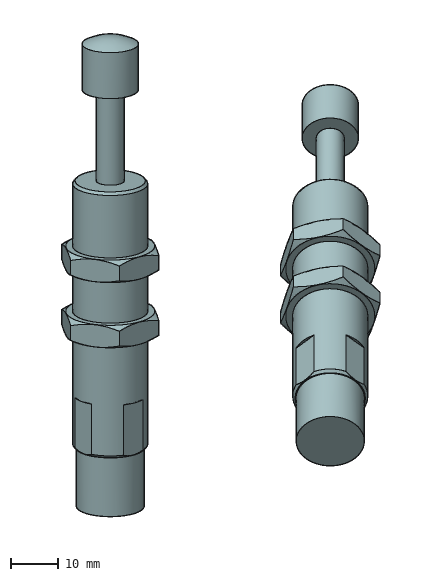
import cadquery as cq
import math

TOTAL_HEIGHT = 105.0
BARREL_BOTTOM = 13.2
BARREL_TOP = 72.8
FLATS_TOP = 25.1
CAP_BOTTOM = 93.1
DOME_HEIGHT = 1.6

STUB_DIAMETER = 14.5
BARREL_DIAMETER = 16.0
BARREL_END_DIAMETER = 14.9
ROD_DIAMETER = 6.0
CAP_DIAMETER = 12.0
BARREL_CHAMFER_HEIGHT = 0.6

FLATS_ACROSS = 15.0
FLAT_COUNT = 4

NUT_ACROSS_FLATS = 19.0
NUT_THICKNESS = 5.0
NUT_FACE_DIAMETER = 18.9
NUT_CHAMFER_ANGLE = 30.0
LOWER_NUT_BOTTOM = 38.5
NUT_PITCH = 14.6
NUT_COUNT = 2


def make_turned_absorber():
    """Stub, barrel, rod and domed cap, revolved as one profile."""
    stub_radius = STUB_DIAMETER / 2
    barrel_radius = BARREL_DIAMETER / 2
    barrel_end_radius = BARREL_END_DIAMETER / 2
    rod_radius = ROD_DIAMETER / 2
    cap_radius = CAP_DIAMETER / 2

    dome_base = TOTAL_HEIGHT - DOME_HEIGHT
    dome_radius = (cap_radius**2 + DOME_HEIGHT**2) / (2 * DOME_HEIGHT)
    half_angle = math.asin(cap_radius / dome_radius) / 2
    dome_middle = (
        dome_radius * math.sin(half_angle),
        TOTAL_HEIGHT - dome_radius * (1 - math.cos(half_angle)),
    )
    return (
        cq.Workplane("XZ")
        .moveTo(0, 0)
        .lineTo(stub_radius, 0)
        .lineTo(stub_radius, BARREL_BOTTOM)
        .lineTo(barrel_end_radius, BARREL_BOTTOM)
        .lineTo(barrel_radius, BARREL_BOTTOM + BARREL_CHAMFER_HEIGHT)
        .lineTo(barrel_radius, BARREL_TOP - BARREL_CHAMFER_HEIGHT)
        .lineTo(barrel_end_radius, BARREL_TOP)
        .lineTo(rod_radius, BARREL_TOP)
        .lineTo(rod_radius, CAP_BOTTOM)
        .lineTo(cap_radius, CAP_BOTTOM)
        .lineTo(cap_radius, dome_base)
        .threePointArc(dome_middle, (0, TOTAL_HEIGHT))
        .close()
        .revolve(360, (0, 0), (0, 1))
    )


def cut_wrench_flats(absorber):
    """Cut flats facing -X, +X, -Y and +Y into the lower barrel."""
    flats_height = FLATS_TOP - BARREL_BOTTOM
    cutter = (
        cq.Workplane("XY")
        .box(BARREL_DIAMETER, BARREL_DIAMETER, flats_height, centered=(False, True, False))
        .translate((FLATS_ACROSS / 2, 0, BARREL_BOTTOM))
    )
    for index in range(FLAT_COUNT):
        angle = index * 360 / FLAT_COUNT
        absorber = absorber.cut(cutter.rotate((0, 0, 0), (0, 0, 1), angle))
    return absorber


def make_nut(bottom):
    """Hexagonal nut with flats on X, corners on Y and both faces chamfered."""
    corner_diameter = NUT_ACROSS_FLATS / math.cos(math.radians(30))
    corner_radius = corner_diameter / 2
    face_radius = NUT_FACE_DIAMETER / 2
    chamfer_height = (corner_radius - face_radius) * math.tan(math.radians(NUT_CHAMFER_ANGLE))
    hexagon = (
        cq.Workplane("XY")
        .polygon(6, corner_diameter)
        .extrude(NUT_THICKNESS)
        .rotate((0, 0, 0), (0, 0, 1), 90)
    )
    chamfered_disc = (
        cq.Workplane("XZ")
        .moveTo(0, 0)
        .lineTo(face_radius, 0)
        .lineTo(corner_radius, chamfer_height)
        .lineTo(corner_radius, NUT_THICKNESS - chamfer_height)
        .lineTo(face_radius, NUT_THICKNESS)
        .lineTo(0, NUT_THICKNESS)
        .close()
        .revolve(360, (0, 0), (0, 1))
    )
    bore = cq.Workplane("XY").circle(BARREL_DIAMETER / 2).extrude(NUT_THICKNESS)
    return hexagon.intersect(chamfered_disc).cut(bore).translate((0, 0, bottom))


absorber = cut_wrench_flats(make_turned_absorber())
nuts = [make_nut(LOWER_NUT_BOTTOM + index * NUT_PITCH) for index in range(NUT_COUNT)]

result = cq.Compound.makeCompound([absorber.val(), *[nut.val() for nut in nuts]])